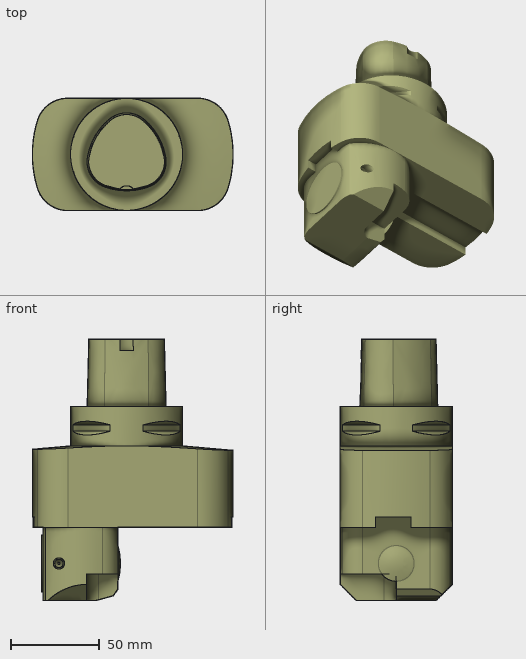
import cadquery as cq
import math


seat_z = 41.2
collar_z = 87.0
shank_z = 109.2
top_z = 147.0

flat_arc_radius = 35.5
corner_arc_radius = 15.1
corner_reach = 23.4
shank_taper = 1.43
notch_radius = 4.7
notch_height = 6.3
notch_axis_y = -22.3

collar_radius = 63.0 / 2
groove_z = 97.0
groove_depth = 3.7
groove_floor_height = 3.5
groove_flank_angle = 30.0

head_length = 113.0
head_width = 63.4
head_rear_x = -53.0
head_centre_x = head_rear_x + head_length / 2
head_end_radius = 64.7
head_corner_radius = 18.1
head_top_slope = 5.0

key_width = 20.1
key_height = 5.9
key_side_y = 8.4
key_centre_y = key_side_y - key_width / 2

cartridge_radius = 63.0 / 2
cartridge_axis_x = -22.0
rear_flat_x = -47.0
front_flat_x = -4.9
rear_flat_half_width = 14.1
rear_joint_half_width = 20.9
front_corner_radius = 11.9
side_chamfer = 9.1

boss_z = 20.9
disc_radius = 32.0 / 2
disc_height = 0.9
dome_radius = 20.1 / 2
dome_height = 1.5

pocket_wall_x = -22.6
pocket_height = 15.0
pocket_floor_y = 0.0
pocket_fillet = 6.8
tip_heel_x = -17.0
tip_corner_x = -7.5
tip_corner_z = 2.6
tip_flank_z = 6.5

hole_x = -38.0
hole_radius = 6.3 / 2
hole_floor_y = -23.5
recess_radius = 4.7 / 2
recess_depth = 1.5
recess_end_radius = 0.6


def polar(radius, degrees):
    angle = math.radians(degrees)
    return (radius * math.cos(angle), radius * math.sin(angle))


def shank():
    corner_centre = corner_reach - corner_arc_radius
    centre_gap = flat_arc_radius - corner_arc_radius
    half_spread = corner_centre * math.sin(math.radians(60))
    flat_centre = math.sqrt(centre_gap**2 - half_spread**2) - corner_centre / 2
    flat_reach = flat_arc_radius - flat_centre
    joint_lean = math.asin(half_spread / centre_gap)
    joint_across = flat_arc_radius * math.sin(joint_lean)
    joint_out = flat_arc_radius * math.cos(joint_lean) - flat_centre
    joint_radius = math.hypot(joint_across, joint_out)
    joint_angle = math.degrees(math.atan2(joint_across, joint_out))

    outline = cq.Workplane("XY").workplane(offset=shank_z)
    outline = outline.moveTo(*polar(joint_radius, -90 - joint_angle))
    for flat_angle in (-90, 30, 150):
        outline = outline.threePointArc(
            polar(flat_reach, flat_angle), polar(joint_radius, flat_angle + joint_angle)
        )
        outline = outline.threePointArc(
            polar(corner_reach, flat_angle + 60), polar(joint_radius, flat_angle + 120 - joint_angle)
        )
    body = outline.close().extrude(top_z - shank_z, taper=shank_taper)

    notch = (
        cq.Workplane("XY", origin=(0, notch_axis_y, top_z))
        .circle(notch_radius)
        .extrude(-notch_height)
    )
    return body.cut(notch)


def gripper_groove(direction):
    floor_x = collar_radius - groove_depth
    floor_half = groove_floor_height / 2
    mouth_half = floor_half + groove_depth * math.tan(math.radians(groove_flank_angle))
    profile = [
        (floor_x, groove_z - floor_half),
        (collar_radius, groove_z - mouth_half),
        (collar_radius, groove_z + mouth_half),
        (floor_x, groove_z + floor_half),
    ]
    groove = cq.Workplane("XZ").polyline(profile).close().extrude(collar_radius, both=True)
    return groove.rotate((0, 0, 0), (0, 0, 1), direction)


def collar():
    body = cq.Workplane("XY", origin=(0, 0, collar_z)).circle(collar_radius).extrude(shank_z - collar_z)
    for direction in (45, 135, 225, 315):
        body = body.cut(gripper_groove(direction))
    return body


def head():
    half_width = head_width / 2
    tip_x = head_length / 2
    side_x = tip_x - head_end_radius + math.sqrt(head_end_radius**2 - half_width**2)
    height = collar_z - seat_z
    body = (
        cq.Workplane("XY", origin=(head_centre_x, 0, seat_z))
        .moveTo(-side_x, -half_width)
        .lineTo(side_x, -half_width)
        .threePointArc((tip_x, 0), (side_x, half_width))
        .lineTo(-side_x, half_width)
        .threePointArc((-tip_x, 0), (-side_x, -half_width))
        .close()
        .extrude(height)
        .edges("|Z")
        .fillet(head_corner_radius)
    )
    cone_base_radius = collar_radius + height / math.tan(math.radians(head_top_slope))
    cone = cq.Solid.makeCone(cone_base_radius, collar_radius, height, pnt=cq.Vector(0, 0, seat_z))
    return body.intersect(cq.Workplane(cone))


def key_bar():
    """Bar along X, longer than the head, that fills the keyway."""
    return cq.Workplane("XY", origin=(head_centre_x, key_centre_y, seat_z)).box(
        2 * head_length, key_width, key_height, centered=(True, True, False)
    )


def make_holder():
    return head().union(collar()).union(shank()).cut(key_bar())


def cartridge_blank(height):
    """Round bar with a rounded rear flat and a filleted front flat."""
    joint_x = cartridge_axis_x - math.sqrt(cartridge_radius**2 - rear_joint_half_width**2)
    front_half_width = math.sqrt(cartridge_radius**2 - (front_flat_x - cartridge_axis_x)**2)
    round_x = joint_x - rear_flat_x
    round_y = rear_joint_half_width - rear_flat_half_width
    round_radius = (round_x**2 + round_y**2) / (2 * round_x)
    return (
        cq.Workplane("XY")
        .moveTo(rear_flat_x, -rear_flat_half_width)
        .lineTo(rear_flat_x, rear_flat_half_width)
        .radiusArc((joint_x, rear_joint_half_width), round_radius)
        .threePointArc((cartridge_axis_x, cartridge_radius), (front_flat_x, front_half_width))
        .lineTo(front_flat_x, -front_half_width)
        .threePointArc((cartridge_axis_x, -cartridge_radius), (joint_x, -rear_joint_half_width))
        .radiusArc((rear_flat_x, -rear_flat_half_width), round_radius)
        .close()
        .extrude(height)
        .edges("|Z and >X")
        .fillet(front_corner_radius)
    )


def side_profile():
    """Bar along X with the two chamfered lower edges of the cartridge."""
    bottom_half = cartridge_radius - side_chamfer
    points = [
        (-bottom_half, 0),
        (bottom_half, 0),
        (cartridge_radius, side_chamfer),
        (cartridge_radius, seat_z),
        (-cartridge_radius, seat_z),
        (-cartridge_radius, side_chamfer),
    ]
    middle = cq.Workplane("YZ", origin=(cartridge_axis_x, 0, 0))
    return middle.polyline(points).close().extrude(2 * cartridge_radius, both=True)


def rear_disc():
    overlap = rear_joint_half_width - rear_flat_half_width
    plane = cq.Workplane("YZ", origin=(rear_flat_x - disc_height, 0, boss_z))
    return plane.circle(disc_radius).extrude(disc_height + overlap)


def front_dome():
    sphere_radius = (dome_radius**2 + dome_height**2) / (2 * dome_height)
    profile = (
        cq.Workplane("XY", origin=(front_flat_x, 0, boss_z))
        .moveTo(0, 0)
        .lineTo(dome_height, 0)
        .radiusArc((0, dome_radius), -sphere_radius)
        .close()
    )
    return profile.revolve(360, (0, 0, 0), (1, 0, 0))


def chip_pocket():
    """Pocket open to -Y, with a round corner between its wall and its floor."""
    length = front_flat_x - pocket_wall_x
    depth = pocket_floor_y + cartridge_radius
    block = cq.Workplane("XY", origin=(pocket_wall_x, pocket_floor_y, 0)).box(
        length, depth, pocket_height, centered=False
    )
    block = block.translate((0, -depth, 0))
    return block.edges("|Z and <X and >Y").fillet(pocket_fillet)


def tip_relief():
    """Wedge below the sloped end and the bevelled corner of the cutting tip."""
    points = [
        (tip_heel_x, 0),
        (tip_corner_x, tip_corner_z),
        (front_flat_x, tip_flank_z),
        (front_flat_x, 0),
    ]
    return cq.Workplane("XZ").polyline(points).close().extrude(cartridge_radius, both=True)


def side_hole():
    """Blind hole along Y with a small tapered recess in its floor."""
    profile = [
        (0, -cartridge_radius),
        (hole_radius, -cartridge_radius),
        (hole_radius, hole_floor_y),
        (recess_radius, hole_floor_y),
        (recess_end_radius, hole_floor_y + recess_depth),
        (0, hole_floor_y + recess_depth),
    ]
    plane = cq.Workplane("XY", origin=(hole_x, 0, boss_z))
    return plane.polyline(profile).close().revolve(360, (0, 0, 0), (0, 1, 0))


def make_cartridge():
    key = cartridge_blank(seat_z + key_height).intersect(key_bar())
    body = cartridge_blank(seat_z).intersect(side_profile())
    body = body.union(key).union(rear_disc()).union(front_dome())
    return body.cut(chip_pocket()).cut(tip_relief()).cut(side_hole())


holder = make_holder()
cartridge = make_cartridge()
result = cq.Compound.makeCompound([holder.val(), cartridge.val()])